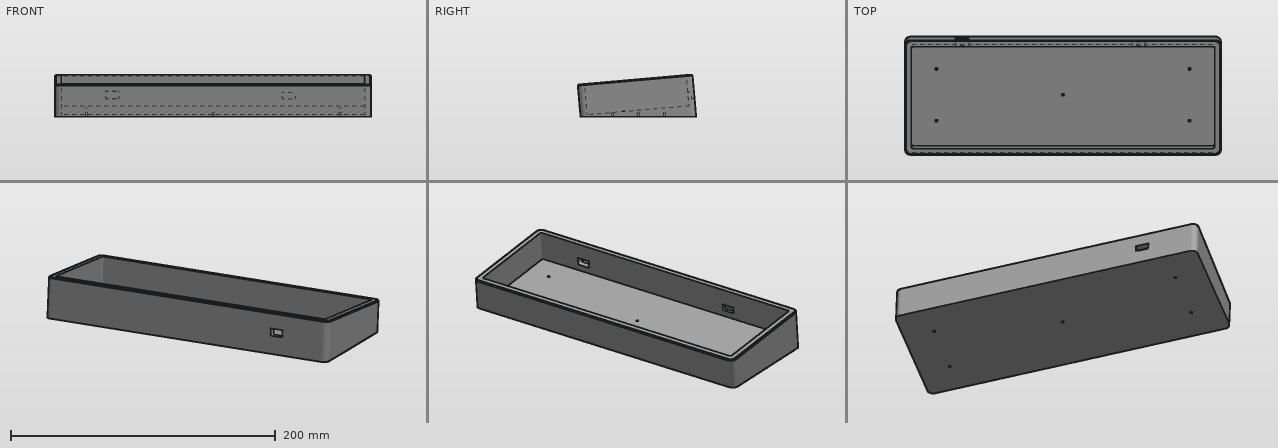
import cadquery as cq
import math

length = 239.0
tilt = 5.0
depth_across = 87.2
total_height = 32.0
wall = 5.0
corner_radius = 4.5
inner_radius = 1.5
rim_chamfer = 1.0
cavity_depth = 23.2

hole_diameter = 1.5
hole_span_x = 191.2
hole_span_y = 39.2

port_width = 10.0
left_port_height = 5.7
right_port_height = 5.0
port_corner_radius = 1.5
port_rise = 5.0
left_port_x = -76.2
right_port_x = 57.1
right_port_depth = 2.6

stock_depth = 47.8


def prism(size_x, size_y, radius, bottom, top):
    """Round-cornered block measured in the tray's own leaning frame."""
    block = cq.Workplane("XY").workplane(offset=bottom).rect(size_x, size_y).extrude(top - bottom)
    return block.edges("|Z").fillet(radius)


body = prism(length, depth_across, corner_radius, -stock_depth, 0)
body = body.faces(">Z").edges().chamfer(rim_chamfer)

inner_length = length - 2 * wall
inner_depth = depth_across - 2 * wall
body = body.cut(prism(inner_length, inner_depth, inner_radius, -cavity_depth, 0))

floor_bottom = cq.Workplane("XY").workplane(offset=-stock_depth)
corner_holes = floor_bottom.rect(hole_span_x, hole_span_y, forConstruction=True).vertices()
body = body.cut(corner_holes.circle(hole_diameter / 2).extrude(stock_depth))
body = body.cut(floor_bottom.circle(hole_diameter / 2).extrude(stock_depth))


def port(x, height, cut_depth):
    """Recess with rounded lower corners, cut into the back wall from inside the tray."""
    recess = cq.Workplane("XY").box(port_width, cut_depth, height, centered=(True, False, False))
    recess = recess.edges("|Y and <Z").fillet(port_corner_radius)
    return recess.translate((x, inner_depth / 2, port_rise - cavity_depth))


body = body.cut(port(left_port_x, left_port_height, wall))
body = body.cut(port(right_port_x, right_port_height, right_port_depth))

rim_height = total_height - (depth_across / 2 - rim_chamfer) * math.sin(math.radians(tilt))
body = body.rotate((0, 0, 0), (1, 0, 0), tilt).translate((0, 0, rim_height))
above_base = cq.Workplane("XY").box(2 * length, 2 * length, length, centered=(True, True, False))
result = body.intersect(above_base)